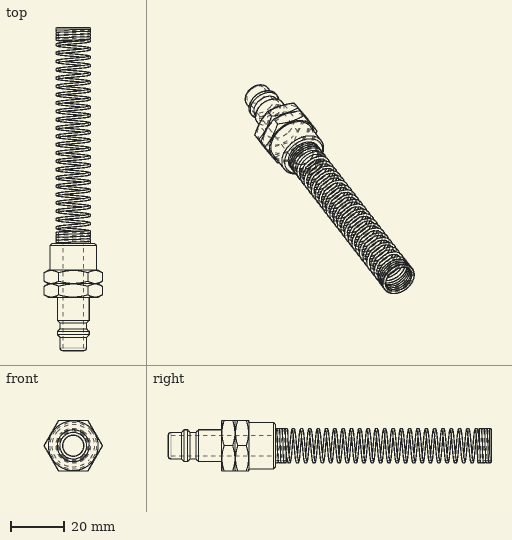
import cadquery as cq
import math

OVERALL_LENGTH = 121.0

BORE_RADIUS = 3.9
NOSE_RADIUS = 5.0
TIP_ROUND = NOSE_RADIUS - BORE_RADIUS

COLLAR_RADIUS = 6.0
COLLAR_FLANK = COLLAR_RADIUS - NOSE_RADIUS
COLLAR_CREST = 1.2
COLLAR_START = 5.0

SHANK_RADIUS = 6.0
SHANK_START = 10.4
SHANK_CONE = SHANK_RADIUS - NOSE_RADIUS

HEX_START = 20.0
HEX_HALF_LENGTH = 5.1
HEX_HALVES = 2
HEX_SIDES = 6
ACROSS_FLATS = 19.0
ACROSS_CORNERS = ACROSS_FLATS / math.cos(math.pi / HEX_SIDES)
HEX_FACE_RADIUS = 9.3
HEX_CHAMFER_ANGLE = math.radians(30)

BODY_START = HEX_START + HEX_HALVES * HEX_HALF_LENGTH
BODY_END = 40.2
BODY_RADIUS = 8.75
BODY_CHAMFER = 0.8

WIRE_DIAMETER = 1.0
SPRING_OUTER_RADIUS = 6.5
COIL_RADIUS = SPRING_OUTER_RADIUS - WIRE_DIAMETER / 2
CLOSED_PITCH = 1.02
OPEN_PITCH = 3.115
OPEN_START = 44.5
OPEN_TURNS = 23
OPEN_END = OPEN_START + OPEN_PITCH * OPEN_TURNS
SEATED_TURNS = 4.5
SPRING_START = OPEN_START - SEATED_TURNS * CLOSED_PITCH
SPRING_START_ANGLE = -360 * SEATED_TURNS
END_RING_CENTRE = OVERALL_LENGTH - WIRE_DIAMETER / 2
END_COIL_SETBACK = 0.1
FREE_TURNS = (END_RING_CENTRE - END_COIL_SETBACK - OPEN_END) / CLOSED_PITCH


def make_turned_plug():
    """Revolve the nose, collar, shank and body, with the bore left open."""
    collar_crest_start = COLLAR_START + COLLAR_FLANK
    collar_crest_end = collar_crest_start + COLLAR_CREST
    round_diagonal = TIP_ROUND * math.sqrt(0.5)
    tip_round_middle = (BORE_RADIUS + round_diagonal, TIP_ROUND - round_diagonal)
    return (
        cq.Workplane("XY")
        .moveTo(BORE_RADIUS, 0)
        .threePointArc(tip_round_middle, (NOSE_RADIUS, TIP_ROUND))
        .lineTo(NOSE_RADIUS, COLLAR_START)
        .lineTo(COLLAR_RADIUS, collar_crest_start)
        .lineTo(COLLAR_RADIUS, collar_crest_end)
        .lineTo(NOSE_RADIUS, collar_crest_end + COLLAR_FLANK)
        .lineTo(NOSE_RADIUS, SHANK_START)
        .lineTo(SHANK_RADIUS, SHANK_START + SHANK_CONE)
        .lineTo(SHANK_RADIUS, BODY_START)
        .lineTo(BODY_RADIUS, BODY_START)
        .lineTo(BODY_RADIUS, BODY_END - BODY_CHAMFER)
        .lineTo(BODY_RADIUS - BODY_CHAMFER, BODY_END)
        .lineTo(BORE_RADIUS, BODY_END)
        .close()
        .revolve(360, (0, 0), (0, 1))
    )


def make_hex_half(start):
    """Make one hexagon with both ends chamfered by a cone, bored through."""
    corner_radius = ACROSS_CORNERS / 2
    chamfer_depth = (corner_radius - HEX_FACE_RADIUS) * math.tan(HEX_CHAMFER_ANGLE)
    end = start + HEX_HALF_LENGTH
    prism = (
        cq.Workplane("XZ", origin=(0, start, 0))
        .polygon(HEX_SIDES, ACROSS_CORNERS)
        .circle(BORE_RADIUS)
        .extrude(-HEX_HALF_LENGTH)
    )
    chamfer_envelope = (
        cq.Workplane("XY")
        .moveTo(0, start)
        .lineTo(HEX_FACE_RADIUS, start)
        .lineTo(corner_radius, start + chamfer_depth)
        .lineTo(corner_radius, end - chamfer_depth)
        .lineTo(HEX_FACE_RADIUS, end)
        .lineTo(0, end)
        .close()
        .revolve(360, (0, 0), (0, 1))
    )
    return prism.intersect(chamfer_envelope)


def make_coils(start, start_angle, pitch, turns):
    """Sweep round wire along a helix about Y; both ends lie in planes through the axis."""
    path = cq.Wire.makeHelix(pitch, pitch * turns, COIL_RADIUS)
    coils = (
        cq.Workplane("XZ")
        .center(COIL_RADIUS, 0)
        .circle(WIRE_DIAMETER / 2)
        .sweep(cq.Workplane(obj=path), isFrenet=True)
    )
    return (
        coils.rotate((0, 0, 0), (0, 0, 1), start_angle)
        .rotate((0, 0, 0), (1, 0, 0), -90)
        .translate((0, start, 0))
    )


def make_end_ring():
    """Make the flat ring of wire that the last free coil runs into."""
    return (
        cq.Workplane("XY")
        .center(COIL_RADIUS, END_RING_CENTRE)
        .circle(WIRE_DIAMETER / 2)
        .revolve(360, (-COIL_RADIUS, 0), (-COIL_RADIUS, 1))
    )


def make_spring():
    """Join closed, open and closed coils end to end into one wire."""
    stretches = [
        (CLOSED_PITCH, SEATED_TURNS),
        (OPEN_PITCH, OPEN_TURNS),
        (CLOSED_PITCH, FREE_TURNS),
    ]
    start = SPRING_START
    angle = SPRING_START_ANGLE
    spring = cq.Workplane("XY")
    for pitch, turns in stretches:
        spring = spring.union(make_coils(start, angle, pitch, turns), clean=False)
        start += pitch * turns
        angle += 360 * turns
    return spring.union(make_end_ring(), clean=False)


plug = make_turned_plug()
for half in range(HEX_HALVES):
    plug = plug.union(make_hex_half(HEX_START + half * HEX_HALF_LENGTH))

result = plug.union(make_spring(), clean=False)